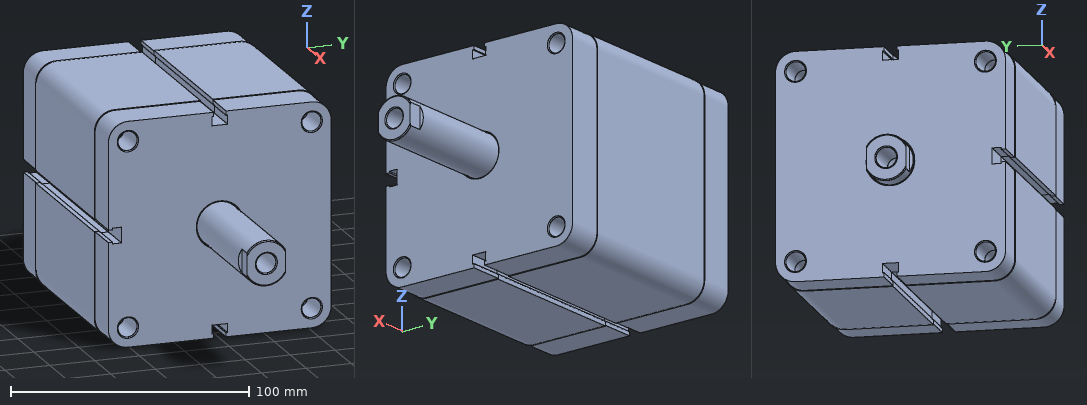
import cadquery as cq
import math

rod_length = 172.5
rear_overhang = 8.0
body_length = 106.5
cap_length = 16.5
barrel_length = body_length - 2 * cap_length
rear_cap_x = rear_overhang
barrel_x = rear_cap_x + cap_length

barrel_side = 100.0
cap_step = 0.3
cap_side = barrel_side - 2 * cap_step
tie_hole_pitch = 82.0
tie_hole_diameter = 8.5
edge_chamfer = 0.48

slot_mouth_width = 5.5
slot_inner_width = 6.9
slot_floor = 43.8
slot_lip = 47.8
slot_angles = (0, 90, 180)

rod_diameter = 20.0
flat_spacing = 17.0
flat_length = 6.5
flat_run_out = 0.5
bore_diameter = 8.8
bore_depth = 20.7
drill_point_angle = 118.0

tie_offset = tie_hole_pitch / 2
through_holes = [(y, z, tie_hole_diameter) for y in (-tie_offset, tie_offset) for z in (-tie_offset, tie_offset)]
through_holes.append((0, 0, rod_diameter))


def rounded_prism(side, start_x, length):
    """Square prism along X whose corner arcs are centred on the tie holes."""
    corner_radius = (side - tie_hole_pitch) / 2
    return (
        cq.Workplane("YZ", origin=(start_x, 0, 0))
        .rect(side, side)
        .extrude(length)
        .edges("|X")
        .fillet(corner_radius)
    )


def slot_cutter(start_x, length):
    """Undercut slot opening upward; a wide channel under a narrower mouth."""
    channel_height = slot_lip - slot_floor
    mouth_height = barrel_side / 2 - slot_floor
    channel = cq.Workplane("XY", origin=(start_x, 0, slot_floor)).box(
        length, slot_inner_width, channel_height, centered=(False, True, False)
    )
    mouth = cq.Workplane("XY", origin=(start_x, 0, slot_floor)).box(
        length, slot_mouth_width, mouth_height, centered=(False, True, False)
    )
    return channel.union(mouth)


def make_section(side, start_x, length):
    """One length of the body: prism with slots, tie holes and the rod passage."""
    section = rounded_prism(side, start_x, length)
    for angle in slot_angles:
        cutter = slot_cutter(start_x, length).rotate((0, 0, 0), (1, 0, 0), angle)
        section = section.cut(cutter)
    for y, z, diameter in through_holes:
        hole = cq.Workplane("YZ", origin=(start_x, y, z)).circle(diameter / 2).extrude(length)
        section = section.cut(hole)
    return section


def make_rear_cap():
    """End cap whose hole mouths are chamfered on the outer face."""
    cap = make_section(cap_side, rear_cap_x, cap_length)
    for y, z, diameter in through_holes:
        radius = diameter / 2
        mouth = cq.Solid.makeCone(
            radius + edge_chamfer, radius, edge_chamfer, cq.Vector(rear_cap_x, y, z), cq.Vector(1, 0, 0)
        )
        cap = cap.cut(cq.Workplane(mouth))
    return cap


def mirrored_lengthwise(body, middle_x):
    """Mirror image of a body about the plane X = middle_x."""
    return body.mirror("YZ", (middle_x, 0, 0))


def flat_cutter():
    """Pair of wrench-flat cuts at the rear tip, each ending in a steep slope."""
    inner = flat_spacing / 2
    surface = rod_diameter / 2
    cutter = (
        cq.Workplane("XY")
        .polyline([
            (0, inner),
            (flat_length, inner),
            (flat_length + flat_run_out, surface),
            (0, surface),
        ])
        .close()
        .extrude(surface, both=True)
    )
    return cutter.union(cutter.mirror("XZ"))


def bore_cutter():
    """Blind bore from the rear tip, with a chamfered mouth and a drill point."""
    radius = bore_diameter / 2
    point_length = radius / math.tan(math.radians(drill_point_angle / 2))
    return (
        cq.Workplane("XY")
        .polyline([
            (0, 0),
            (0, radius + edge_chamfer),
            (edge_chamfer, radius),
            (bore_depth, radius),
            (bore_depth + point_length, 0),
        ])
        .close()
        .revolve(360, (0, 0, 0), (1, 0, 0))
    )


def make_rod():
    """Through rod, finished alike at both tips."""
    rod = cq.Workplane("YZ").circle(rod_diameter / 2).extrude(rod_length)
    rod = rod.faces("<X or >X").chamfer(edge_chamfer)
    tip_cutter = flat_cutter().union(bore_cutter())
    far_tip_cutter = mirrored_lengthwise(tip_cutter, rod_length / 2)
    return rod.cut(tip_cutter).cut(far_tip_cutter)


rear_cap = make_rear_cap()
barrel = make_section(barrel_side, barrel_x, barrel_length)
front_cap = mirrored_lengthwise(rear_cap, barrel_x + barrel_length / 2)
rod = make_rod()

result = cq.Compound.makeCompound([rear_cap.val(), barrel.val(), front_cap.val(), rod.val()])